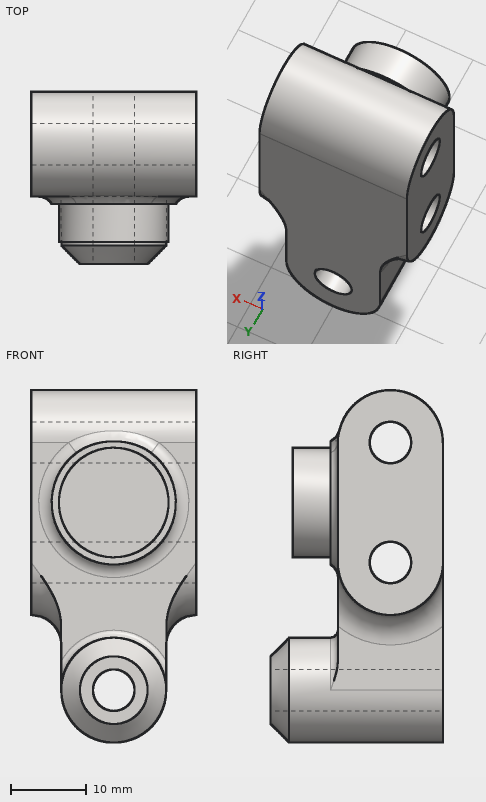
import cadquery as cq

height = 47.0
width = 22.0
thickness = 14.0
end_radius = thickness / 2

hole_diameter = 5.5
hole_spacing = 16.0
body_height = hole_spacing + thickness
upper_hole_z = height - end_radius
lower_hole_z = upper_hole_z - hole_spacing
body_center_z = (upper_hole_z + lower_hole_z) / 2

neck_width = thickness
neck_fillet = 4.0

boss_diameter = 14.6
boss_height = 6.0
collar_root_diameter = 16.0
collar_fillet = 2.0

pin_diameter = neck_width
pin_center_z = pin_diameter / 2
pin_projection = 9.0
pin_chamfer = 2.5
pin_fillet = 1.0

step_height = 1.0

selection_margin = 0.05

front_y = -thickness / 2
back_y = thickness / 2


def cylinder_along_y(diameter, center_z, start_y, length):
    """Cylinder growing from start_y toward -Y."""
    plane = cq.Workplane("XZ", origin=(0, start_y, center_z))
    return plane.circle(diameter / 2).extrude(length)


def box_between(x_size, z_low, z_high, y_low, y_high):
    """Box centred on X, between the given Y and Z limits."""
    corner = (-x_size / 2, y_low, z_low)
    return cq.Workplane("XY", origin=corner).box(x_size, y_high - y_low, z_high - z_low, centered=False)


def make_body():
    plane = cq.Workplane("YZ", origin=(-width / 2, 0, body_center_z))
    return plane.slot2D(body_height, thickness, 90).extrude(width)


def add_collar_and_boss(body):
    """Blend a round post into the body, trim it to collar height, then add the boss."""
    post_height = 2 * collar_fillet
    post = cylinder_along_y(collar_root_diameter, body_center_z, 0, end_radius + post_height)
    reach = collar_root_diameter / 2 + selection_margin
    root_edges = cq.selectors.BoxSelector(
        (-reach, front_y - selection_margin, body_center_z - reach),
        (reach, 0, body_center_z + reach),
        boundingbox=True,
    )
    blended = body.union(post).edges(root_edges).fillet(collar_fillet)
    trim = box_between(width, 0, height, front_y - 2 * post_height, front_y - step_height)
    boss = cylinder_along_y(boss_diameter, body_center_z, 0, end_radius + boss_height)
    return blended.cut(trim).union(boss)


def make_neck():
    return box_between(neck_width, pin_center_z, lower_hole_z, front_y, back_y)


def make_neck_fillets():
    """Concave blends from the body's round lower end to both sides of the neck."""
    half_neck = neck_width / 2
    outer_radius = end_radius + neck_fillet
    arc_center_x = half_neck + neck_fillet
    arc_offset = neck_fillet / 2**0.5
    blend = (
        cq.Workplane("XY")
        .lineTo(0, outer_radius)
        .lineTo(half_neck, outer_radius)
        .threePointArc(
            (arc_center_x - arc_offset, outer_radius - arc_offset),
            (arc_center_x, end_radius),
        )
        .lineTo(arc_center_x, 0)
        .close()
        .revolve(360, (0, 0, 0), (1, 0, 0))
    )
    blend = blend.union(blend.mirror("YZ")).translate((0, 0, lower_hole_z))
    return blend.intersect(box_between(width, 0, lower_hole_z, front_y, back_y))


def make_pin():
    pin = cylinder_along_y(pin_diameter, pin_center_z, back_y, thickness + pin_projection)
    return pin.faces("<Y").chamfer(pin_chamfer)


def make_pin_fillet():
    """Concave blend from the neck's front face to the upper half of the pin."""
    pin_radius = pin_diameter / 2
    outer_radius = pin_radius + pin_fillet
    arc_offset = pin_fillet / 2**0.5
    tip_y = front_y - step_height
    blend = (
        cq.Workplane("XY")
        .moveTo(0, front_y)
        .lineTo(outer_radius, front_y)
        .threePointArc((outer_radius - arc_offset, tip_y + arc_offset), (pin_radius, tip_y))
        .lineTo(0, tip_y)
        .close()
        .revolve(360, (0, 0, 0), (0, 1, 0))
        .translate((0, 0, pin_center_z))
    )
    return blend.intersect(box_between(neck_width, pin_center_z, height, tip_y, front_y))


result = add_collar_and_boss(make_body().union(make_neck()))
for piece in (make_neck_fillets(), make_pin(), make_pin_fillet()):
    result = result.union(piece)

for hole_z in (upper_hole_z, lower_hole_z):
    hole_plane = cq.Workplane("YZ", origin=(-width / 2, 0, hole_z))
    cross_hole = hole_plane.circle(hole_diameter / 2).extrude(width)
    result = result.cut(cross_hole)

result = result.cut(cylinder_along_y(hole_diameter, pin_center_z, back_y, thickness + pin_projection))